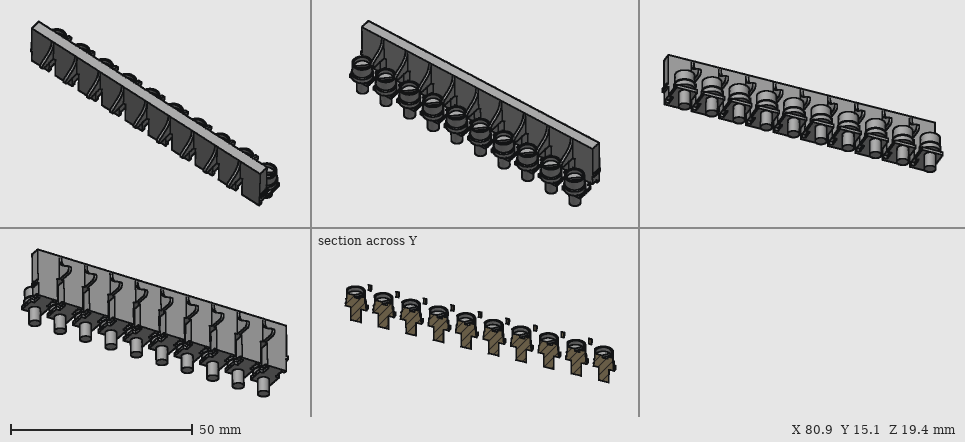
import cadquery as cq
import math


terminal_count = 10
terminal_span = 73.8
pitch = terminal_span / (terminal_count - 1)
tooth_width = 6.1
gap_width = pitch - tooth_width

total_length = 80.9
left_nub_reach = 0.25
right_nub_reach = 0.5
bar_length = total_length - left_nub_reach - right_nub_reach
bar_thickness = 3.1
bar_front = -bar_thickness / 2
bar_back = bar_thickness / 2
gap_top = -7.6
tooth_bottom = -14.7
nub_top = -9.8
nub_height = 1.0

rib_thickness = 0.8
rib_reach = 6.55
rib_slope = math.radians(30)
rib_root_radius = 4.05
rib_nose_radius = 1.05

plate_thickness = 1.0
plate_top = tooth_bottom + plate_thickness
plate_width = 6.2
plate_front = 2.5
plate_back = 7.4
neck_width = 4.05
neck_front = -0.5

screw_y = 5.7
head_top = -8.8
head_diameter = 5.5
head_bottom = -11.8
collar_diameter = 6.0
collar_bevel_bottom = -12.3
recess_diameter = 4.6
recess_depth = 1.4
slot_width = 1.0
slot_depth = 0.8
slot_angle = 45
pin_diameter = 3.2
pin_bottom = -19.2

lean_angle = -1.0

screw_places = [i * pitch - terminal_span / 2 for i in range(terminal_count)]
gap_places = [x + pitch / 2 for x in screw_places[:-1]]


def block(x_range, y_range, z_range):
    """Axis-aligned block between pairs of limits."""
    (x0, x1), (y0, y1), (z0, z1) = x_range, y_range, z_range
    return cq.Workplane("XY").box(x1 - x0, y1 - y0, z1 - z0, centered=False).translate((x0, y0, z0))


def centred_range(middle, width):
    return (middle - width / 2, middle + width / 2)


def make_bar():
    """Bar with teeth, end nubs and a notch along the lower back edge for the plates."""
    across = (bar_front, bar_back)
    teeth_length = terminal_span + tooth_width
    bar = block(centred_range(0, bar_length), across, (nub_top, 0))
    bar = bar.union(block(centred_range(0, teeth_length), across, (tooth_bottom, nub_top)))
    nub_ends = (-bar_length / 2 - left_nub_reach, bar_length / 2 + right_nub_reach)
    bar = bar.union(block(nub_ends, across, (nub_top - nub_height, nub_top)))
    bar = bar.cut(block(centred_range(0, teeth_length), (neck_front, bar_back), (tooth_bottom, plate_top)))
    for x in gap_places:
        bar = bar.cut(block(centred_range(x, gap_width), across, (tooth_bottom, gap_top)))
    return bar


def make_rib_half():
    """Half rib on +Y: hollow root arc, straight slope, rounded nose; centred on X = 0."""
    sin_slope = math.sin(rib_slope)
    cos_slope = math.cos(rib_slope)
    nose_y = rib_reach - rib_nose_radius
    nose_z = gap_top + rib_nose_radius
    slope_end = (nose_y + rib_nose_radius * sin_slope, nose_z + rib_nose_radius * cos_slope)

    root_y = bar_back + rib_root_radius
    slope_start_y = root_y - rib_root_radius * sin_slope
    slope_start_z = slope_end[1] + (slope_end[0] - slope_start_y) * math.tan(rib_slope)
    root_z = slope_start_z + rib_root_radius * cos_slope
    root_mid_angle = (math.pi / 2 - rib_slope) / 2
    root_mid = (
        root_y - rib_root_radius * math.cos(root_mid_angle),
        root_z - rib_root_radius * math.sin(root_mid_angle),
    )
    return (
        cq.Workplane("YZ")
        .moveTo(0, gap_top)
        .lineTo(0, root_z)
        .lineTo(bar_back, root_z)
        .threePointArc(root_mid, (slope_start_y, slope_start_z))
        .lineTo(*slope_end)
        .threePointArc((rib_reach, nose_z), (nose_y, gap_top))
        .close()
        .extrude(rib_thickness / 2, both=True)
    )


def make_plate():
    """Terminal plate with a narrower neck reaching into the tooth notch."""
    heights = (tooth_bottom, plate_top)
    plate = block(centred_range(0, plate_width), (plate_front, plate_back), heights)
    return plate.union(block(centred_range(0, neck_width), (neck_front, plate_front), heights))


def make_screw():
    """Screw turned about its own axis, with a bevelled collar and a slotted recess."""
    recess_floor = head_top - recess_depth
    screw = (
        cq.Workplane("XZ")
        .moveTo(0, pin_bottom)
        .lineTo(pin_diameter / 2, pin_bottom)
        .lineTo(pin_diameter / 2, plate_top)
        .lineTo(collar_diameter / 2, plate_top)
        .lineTo(collar_diameter / 2, collar_bevel_bottom)
        .lineTo(head_diameter / 2, head_bottom)
        .lineTo(head_diameter / 2, head_top)
        .lineTo(recess_diameter / 2, head_top)
        .lineTo(recess_diameter / 2, recess_floor)
        .lineTo(0, recess_floor)
        .close()
        .revolve(360, (0, 0), (0, 1))
    )
    slot_floor = recess_floor - slot_depth
    slot = block(centred_range(0, recess_diameter), centred_range(0, slot_width), (slot_floor, recess_floor))
    slot_bore = cq.Workplane("XY", origin=(0, 0, slot_floor)).circle(recess_diameter / 2).extrude(slot_depth)
    slot = slot.rotate((0, 0, 0), (0, 0, 1), slot_angle).intersect(slot_bore)
    return screw.cut(slot).translate((0, screw_y, 0))


rib_half = make_rib_half()
rib = rib_half.union(rib_half.mirror("XZ"))
terminal = make_plate().union(make_screw())

strip = make_bar()
for gap_x in gap_places:
    strip = strip.union(rib.translate((gap_x, 0, 0)))
for screw_x in screw_places:
    strip = strip.union(terminal.translate((screw_x, 0, 0)))

result = strip.rotate((0, 0, 0), (1, 0, 0), lean_angle)